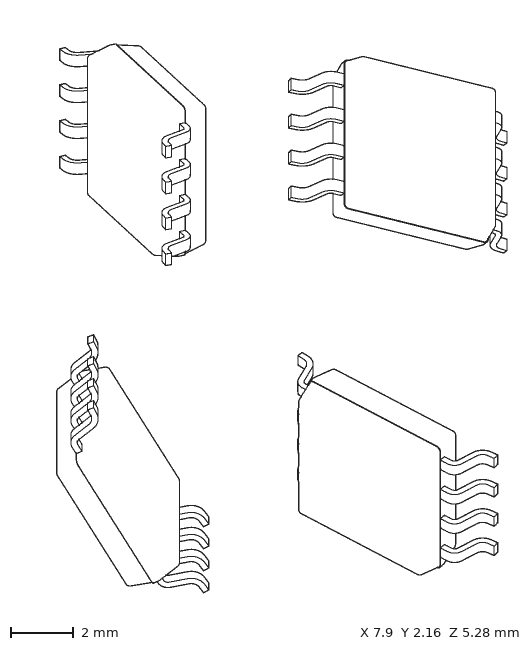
import cadquery as cq
import math

SPAN_X = 7.9
PACKAGE_SIZE = 5.28
PACKAGE_FRONT_Y = 0.245
PACKAGE_BACK_Y = 2.16
PARTING_Y = 1.31
REAR_SETBACK = 0.02
DRAFT_ANGLE = 10.0
EDGE_RADIUS = 0.15

LEAD_THICKNESS = 0.205
LEAD_WIDTH = 0.41
LEAD_PITCH = 1.27
LEADS_PER_SIDE = 4
FOOT_TILT = 4.0
FOOT_LENGTH = 0.245
FOOT_BEND_RADIUS = 0.3
SHOULDER_BEND_RADIUS = 0.165
LEG_ANGLE = 75.0


def drafted_half(size, end_y, direction):
    """Square block narrowing along Y (direction +1 or -1) from the parting plane to end_y, edges rounded."""
    base = cq.Plane(origin=(0, PARTING_Y, 0), xDir=(1, 0, 0), normal=(0, direction, 0))
    block = cq.Workplane(base).rect(size, size).extrude(abs(end_y - PARTING_Y), taper=DRAFT_ANGLE)
    corner_edges = block.edges("not(#Y)")
    end_face_edges = block.faces("<Y" if direction < 0 else ">Y").edges()
    return corner_edges.add(end_face_edges).fillet(EDGE_RADIUS)


def make_front_half():
    """Front half: drafted sides trimmed to a straight band as thick as the leads."""
    band_flare = LEAD_THICKNESS * math.tan(math.radians(DRAFT_ANGLE))
    half = drafted_half(PACKAGE_SIZE + 2 * band_flare, PACKAGE_FRONT_Y, -1)
    depth = PARTING_Y - PACKAGE_FRONT_Y
    band_outline = cq.Workplane("XY").box(PACKAGE_SIZE, depth, PACKAGE_SIZE).edges("|Y").fillet(EDGE_RADIUS)
    return half.intersect(band_outline.translate((0, PARTING_Y - depth / 2, 0))).solids()


def make_rear_half():
    """Rear half: drafted sides only, set back slightly from the front half."""
    return drafted_half(PACKAGE_SIZE - 2 * REAR_SETBACK, PACKAGE_BACK_Y, 1).solids()


def make_lead():
    """Gull-wing lead on the -X side, centred on Z = 0, ending at the parting band."""
    foot_tilt = math.radians(FOOT_TILT)
    leg_angle = math.radians(LEG_ANGLE)
    half_thickness = LEAD_THICKNESS / 2
    foot_radius = FOOT_BEND_RADIUS + half_thickness
    shoulder_radius = SHOULDER_BEND_RADIUS + half_thickness

    tip_x = -SPAN_X / 2 + half_thickness * math.sin(foot_tilt)
    tip_y = half_thickness * math.cos(foot_tilt)

    foot_centre_x = tip_x + FOOT_LENGTH * math.cos(foot_tilt) - foot_radius * math.sin(foot_tilt)
    foot_centre_y = tip_y + FOOT_LENGTH * math.sin(foot_tilt) + foot_radius * math.cos(foot_tilt)

    shoulder_centre_y = PARTING_Y - half_thickness - shoulder_radius
    radius_sum = foot_radius + shoulder_radius
    leg_rise = shoulder_centre_y - foot_centre_y + radius_sum * math.cos(leg_angle)
    shoulder_centre_x = (
        foot_centre_x + radius_sum * math.sin(leg_angle) + leg_rise / math.tan(leg_angle)
    )

    def on_tip(side):
        """Tip corner on the lower (-1) or upper (+1) face of the strip."""
        offset = side * half_thickness
        return (tip_x - offset * math.sin(foot_tilt), tip_y + offset * math.cos(foot_tilt))

    def on_foot_bend(radius, slope):
        """Point of the foot bend where the strip has the given slope."""
        return (foot_centre_x + radius * math.sin(slope), foot_centre_y - radius * math.cos(slope))

    def on_shoulder_bend(radius, slope):
        """Point of the shoulder bend where the strip has the given slope."""
        return (shoulder_centre_x - radius * math.sin(slope), shoulder_centre_y + radius * math.cos(slope))

    foot_inner = FOOT_BEND_RADIUS
    foot_outer = FOOT_BEND_RADIUS + LEAD_THICKNESS
    foot_middle = (foot_tilt + leg_angle) / 2
    shoulder_inner = SHOULDER_BEND_RADIUS
    shoulder_outer = SHOULDER_BEND_RADIUS + LEAD_THICKNESS
    shoulder_middle = leg_angle / 2
    root_x = -PACKAGE_SIZE / 2

    profile = (
        cq.Workplane("XY", origin=(0, 0, -LEAD_WIDTH / 2))
        .moveTo(*on_tip(-1))
        .lineTo(*on_foot_bend(foot_outer, foot_tilt))
        .threePointArc(on_foot_bend(foot_outer, foot_middle), on_foot_bend(foot_outer, leg_angle))
        .lineTo(*on_shoulder_bend(shoulder_inner, leg_angle))
        .threePointArc(on_shoulder_bend(shoulder_inner, shoulder_middle), on_shoulder_bend(shoulder_inner, 0))
        .lineTo(root_x, PARTING_Y - LEAD_THICKNESS)
        .lineTo(root_x, PARTING_Y)
        .lineTo(*on_shoulder_bend(shoulder_outer, 0))
        .threePointArc(
            on_shoulder_bend(shoulder_outer, shoulder_middle), on_shoulder_bend(shoulder_outer, leg_angle)
        )
        .lineTo(*on_foot_bend(foot_inner, leg_angle))
        .threePointArc(on_foot_bend(foot_inner, foot_middle), on_foot_bend(foot_inner, foot_tilt))
        .lineTo(*on_tip(1))
        .close()
    )
    return profile.extrude(LEAD_WIDTH)


def make_leads():
    """Two mirrored rows of leads, evenly spaced along Z."""
    left_lead = make_lead()
    right_lead = left_lead.mirror("YZ")
    first_z = -LEAD_PITCH * (LEADS_PER_SIDE - 1) / 2
    leads = []
    for index in range(LEADS_PER_SIDE):
        offset = (0, 0, first_z + index * LEAD_PITCH)
        leads.append(left_lead.translate(offset).val())
        leads.append(right_lead.translate(offset).val())
    return leads


front_half = make_front_half()
rear_half = make_rear_half()
leads = make_leads()

result = cq.Compound.makeCompound([front_half.val(), rear_half.val(), *leads])